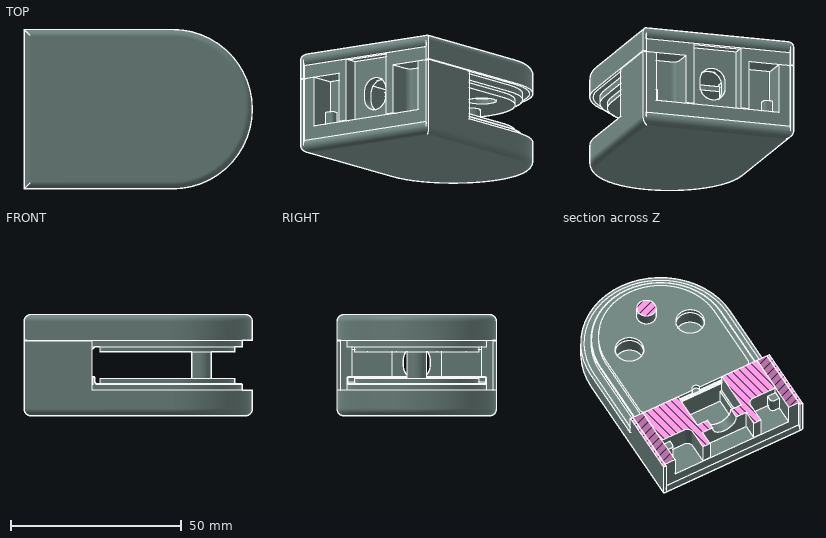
import cadquery as cq
import math


length = 67.0
width = 46.8
height = 29.8
end_radius = width / 2
arc_center_x = length - end_radius

jaw_thickness = 7.6
shell_wall = 1.0
edge_radius = 2.1
inner_edge_radius = edge_radius - shell_wall
block_length = 20.0
seam_gap = 0.2
seam_z = height - jaw_thickness

core_setback = 0.7
bead_height = edge_radius + math.sqrt(edge_radius**2 - (edge_radius - core_setback) ** 2)
core_width = width - 2 * shell_wall
platform_inset = 3.0
platform_height = 1.9
platform_top = jaw_thickness + platform_height
insert_half_width = 19.05
insert_clearance = 0.2

lip_end_x = 20.8
lip_top_z = 11.55
lip_root_chamfer = 0.45
edge_break = 0.2
floor_pocket_half_width = 6.8
floor_pocket_depth = 5.0
pad_hole_bottom_z = 4.6
post_start_x = 6.3
post_width = 2.65
post_height = 5.0
post_radius = 0.9

bay_back_x = 8.6
channel_half_width = 7.3
rib_outer_y = 9.8
rib_root_radius = 1.8
insert_edge_radius = 0.6
web_front_x = 5.2
web_back_x = 8.4
insert_chamfer = 0.85
slot_width = 7.8
slot_height = 9.6
slot_center_z = 15.6

pad_inset = 5.2
pad_start_x = 22.25
pad_thickness = 1.5
pad_corner_radius = 1.2
pad_notch_diameter = 2.4
pin_diameter = 5.8
pin_x = 52.05
pad_hole_diameter = 8.4
pad_hole_x = 44.0
pad_hole_y = 10.2


def box(x0, x1, y0, y1, z0, z1):
    """Block between two opposite corners."""
    return cq.Workplane("XY").box(x1 - x0, y1 - y0, z1 - z0, centered=False).translate((x0, y0, z0))


def d_plate(start_x, inset, z0, z1):
    """Plate with a square end at start_x and a round end, set in from the outer outline."""
    radius = end_radius - inset
    return (
        cq.Workplane("XY", origin=(0, 0, z0))
        .moveTo(start_x, -radius)
        .lineTo(arc_center_x, -radius)
        .threePointArc((arc_center_x + radius, 0), (arc_center_x, radius))
        .lineTo(start_x, radius)
        .close()
        .extrude(z1 - z0)
    )


def flipped(body):
    """Mirror a body between the lower and the upper jaw."""
    return body.mirror("XY").translate((0, 0, height))


def end_round():
    """Cutter that shapes the square end of a shell into a rounded bead with an open mouth above it."""
    return (
        cq.Workplane("XZ", origin=(0, width / 2, 0))
        .moveTo(edge_radius, 0)
        .threePointArc((0, edge_radius), (core_setback, bead_height))
        .lineTo(edge_radius, bead_height)
        .lineTo(edge_radius, jaw_thickness)
        .lineTo(-edge_radius, jaw_thickness)
        .lineTo(-edge_radius, 0)
        .close()
        .extrude(width)
    )


def rounded_plate(start_x, inset, z0, radius):
    """Plate up to the jaw face, with its lower edge rounded except at the square end."""
    plate = d_plate(start_x, inset, z0, jaw_thickness)
    return plate.faces("<Z").edges("not <X").fillet(radius)


def side_block(side, inner_y, outer_y, x_range, z_range):
    """Block between two distances from the middle plane, on the side given by the sign."""
    y_range = sorted((side * inner_y, side * outer_y))
    return box(*x_range, *y_range, *z_range)


def jaw_shell():
    """Shell of one jaw, with a rounded outer edge and a bead at its square end."""
    plate = rounded_plate(0, 0, 0, edge_radius)
    hollow = rounded_plate(edge_radius, shell_wall, shell_wall, inner_edge_radius)
    shell = plate.cut(hollow).cut(end_round())
    for side in (-1, 1):
        wall_end = side_block(side, core_width / 2, width / 2, (0, edge_radius), (edge_radius, jaw_thickness))
        shell = shell.union(wall_end)
    return shell


def core_base():
    """Filling of one shell, set back from the square end."""
    filling = rounded_plate(core_setback, shell_wall, shell_wall, inner_edge_radius)
    return filling.cut(jaw_shell())


def pad_holes(z0, z1):
    """Pair of round cutters for the holes beside the middle of a pad."""
    centers = [(pad_hole_x, -pad_hole_y), (pad_hole_x, pad_hole_y)]
    holes = cq.Workplane("XY", origin=(0, 0, z0)).pushPoints(centers)
    return holes.circle(pad_hole_diameter / 2).extrude(z1 - z0)


def make_lower_shell():
    """Jaw shell with walls that rise along the mounting block."""
    shell = jaw_shell()
    for side in (-1, 1):
        wall = side_block(
            side, core_width / 2, width / 2, (0, block_length), (jaw_thickness, seam_z - seam_gap)
        )
        shell = shell.union(wall)
    return shell


def lower_platform():
    """Raised platform with a broken top edge."""
    platform = d_plate(block_length, platform_inset, jaw_thickness, platform_top)
    return platform.faces(">Z").edges("not <X").chamfer(edge_break)


def lower_lip():
    """Upright lip along the rear of the lower platform, with a chamfered root and broken edges."""
    foot_end_x = lip_end_x + lip_root_chamfer
    half_width = end_radius - platform_inset
    lip = (
        cq.Workplane("XZ", origin=(0, half_width, 0))
        .moveTo(block_length, jaw_thickness)
        .lineTo(block_length, lip_top_z)
        .lineTo(lip_end_x, lip_top_z)
        .lineTo(lip_end_x, platform_top + lip_root_chamfer)
        .lineTo(foot_end_x, platform_top)
        .lineTo(foot_end_x, jaw_thickness)
        .close()
        .extrude(2 * half_width)
    )
    end_edges = cq.StringSyntaxSelector("<Y or >Y")
    upper_part = cq.selectors.BoxSelector(
        (block_length - 1, -width, platform_top), (foot_end_x + 1, width, lip_top_z + 1)
    )
    top_edges = lip.faces(">Z").edges("|Y")
    return lip.edges(upper_part).edges(end_edges).add(top_edges).chamfer(edge_break)


def support_post(side):
    """Short post against a side wall, with a rounded inner corner."""
    post = side_block(
        side, insert_half_width - post_width, insert_half_width,
        (post_start_x, bay_back_x), (jaw_thickness, jaw_thickness + post_height),
    )
    inner_edge = "<Y" if side > 0 else ">Y"
    return post.faces("<X").edges(inner_edge).fillet(post_radius)


def make_lower_core():
    """Core with side walls and posts around the insert, and the platform of the lower pad."""
    core = core_base()
    for side in (-1, 1):
        wall = side_block(
            side, insert_half_width, core_width / 2, (core_setback, block_length), (jaw_thickness, seam_z)
        )
        core = core.union(wall).union(support_post(side))
    core = core.union(lower_platform()).union(lower_lip())
    floor_pocket = box(
        web_back_x, block_length, -floor_pocket_half_width, floor_pocket_half_width,
        jaw_thickness - floor_pocket_depth, jaw_thickness,
    )
    return core.cut(floor_pocket).cut(pad_holes(pad_hole_bottom_z, platform_top))


def insert_block():
    """Block with two forward ribs that fills the mounting end between the side walls."""
    bottom = jaw_thickness + insert_clearance
    block = box(bay_back_x, block_length, -insert_half_width, insert_half_width, bottom, seam_z)
    block = block.faces("<X").edges("|Z").fillet(insert_edge_radius)
    ribs = box(core_setback, bay_back_x, -rib_outer_y, rib_outer_y, bottom, seam_z)
    roots = cq.selectors.BoxSelector(
        (bay_back_x - rib_root_radius, -rib_outer_y - rib_root_radius, bottom),
        (bay_back_x + rib_root_radius, rib_outer_y + rib_root_radius, seam_z),
    )
    return block.union(ribs).edges("|Z").edges(roots).fillet(rib_root_radius)


def insert_root():
    """Wedge in the corner between the insert and the upper platform."""
    platform_z = height - platform_top
    return (
        cq.Workplane("XZ", origin=(0, insert_half_width, 0))
        .moveTo(block_length, platform_z)
        .lineTo(block_length + insert_chamfer, platform_z)
        .lineTo(block_length, platform_z - insert_chamfer)
        .close()
        .extrude(2 * insert_half_width)
    )


def make_upper_core():
    """Core with the platform of the upper pad and the insert that hangs into the mounting end."""
    bottom = jaw_thickness + insert_clearance
    platform_z = height - platform_top
    core = flipped(core_base())
    core = core.union(d_plate(block_length, platform_inset, platform_z, seam_z))
    core = core.union(insert_block()).union(insert_root())

    front_channel = box(
        core_setback, web_front_x, -channel_half_width, channel_half_width, bottom, height - bead_height
    )
    rear_channel = box(
        web_back_x, block_length + insert_chamfer, -channel_half_width, channel_half_width,
        bottom, platform_z,
    )
    slot = (
        cq.Workplane("YZ", origin=(web_front_x, 0, slot_center_z))
        .slot2D(slot_height, slot_width, 90)
        .extrude(web_back_x - web_front_x)
    )
    return core.cut(front_channel).cut(rear_channel).cut(slot)


def cylinder(diameter, x, z0, z1):
    """Upright cylinder on the middle plane."""
    return cq.Workplane("XY", origin=(x, 0, z0)).circle(diameter / 2).extrude(z1 - z0)


def make_lower_pad():
    """Pad on the lower platform, notched at the rear and pierced for the pin."""
    pad_top = platform_top + pad_thickness
    pad = d_plate(pad_start_x, pad_inset, platform_top, pad_top)
    pad = pad.faces("<X").edges("|Z").fillet(pad_corner_radius)
    notch = cylinder(pad_notch_diameter, pad_start_x, platform_top, pad_top)
    pin_hole = cylinder(pin_diameter, pin_x, platform_top, pad_top)
    return pad.cut(notch).cut(pin_hole).cut(pad_holes(platform_top, pad_top))


def make_pin():
    """Safety pin between the two platforms."""
    return cylinder(pin_diameter, pin_x, platform_top, height - platform_top)


lower_shell = make_lower_shell()
upper_shell = flipped(jaw_shell())
lower_core = make_lower_core()
upper_core = make_upper_core()
lower_pad = make_lower_pad()
upper_pad = flipped(make_lower_pad())
pin = make_pin()

result = cq.Compound.makeCompound(
    [
        lower_shell.val(),
        upper_shell.val(),
        lower_core.val(),
        upper_core.val(),
        lower_pad.val(),
        upper_pad.val(),
        pin.val(),
    ]
)